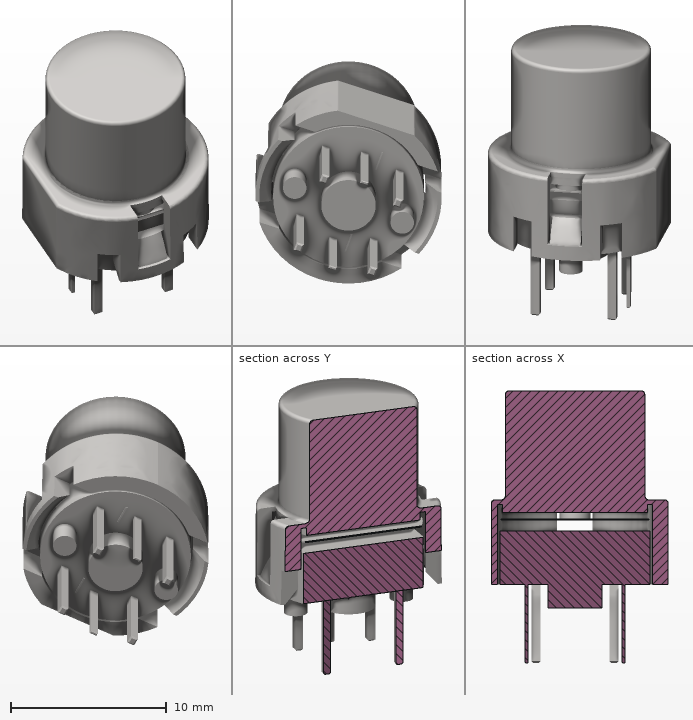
import cadquery as cq
import math

cap_top = 17.5
skirt_top = 10.5
ceiling = 10.18
plug_bottom = 9.66
slot_floor = 5.98
skirt_bottom = 5.02
notch_top = 7.38
disc_top = 9.28
disc_bottom = 9.17
base_top = 8.49
shoulder = 7.52
post_bottom = 3.54

pick_margin = 0.18

cap_radius = 9.0 / 2
skirt_top_half_width = 5.95
skirt_radius = 11.99 / 2
flat_y = skirt_radius - 11.4
edge_radius = 0.25
flat_corner_radius = 0.18
cavity_radius = 4.97
lead_in_radius = 5.74
lead_in_height = 0.95
notch_inner_y = 2.24
notch_outer_y = 3.54
stem_radius = 2.0 / 2
stem_x = 3.6
disc_radius = 4.78
disc_flat_x = 4.62
slot_width = 2.28
slot_inner_radius = 4.7
plug_radius = 4.67

base_radius = 4.85
base_flat_x = 4.18
hook_width = 2.0
hook_tip_radius = 5.8
hook_bulge = 0.05
centre_post_radius = 3.5 / 2
side_post_radius = 1.5 / 2
side_post_x = 3.65
rib_x = 1.03
rib_thickness = 0.1
rib_outer_y = 3.6
rib_length = 1.22
rib_height = 0.09

lead_y = 3.12
lead_width = 0.5
lead_thickness = 0.21
lead_tip_chamfer = 0.05
pin_offset = 2.5
pin_width = 0.5
pin_depth = 0.58
pin_tip_chamfer = 0.1


def cylinder(radius, bottom, top):
    return cq.Workplane("XY").workplane(offset=bottom).circle(radius).extrude(top - bottom)


def block(x_size, y_size, bottom, top, centre=(0, 0)):
    plane = cq.Workplane("XY").workplane(offset=bottom)
    return plane.center(*centre).rect(x_size, y_size).extrude(top - bottom)


def revolve_profile(points):
    profile = cq.Workplane("XZ").polyline(points).close()
    return profile.revolve(360, (0, 0, 0), (0, 1, 0))


def skirt_shell():
    skirt = (
        cq.Workplane("XY")
        .workplane(offset=skirt_bottom)
        .ellipse(skirt_radius, skirt_radius)
        .workplane(offset=skirt_top - skirt_bottom)
        .ellipse(skirt_top_half_width, skirt_radius)
        .loft(ruled=True)
    )
    reach = 2 * skirt_radius
    front_waste = block(2 * reach, reach, skirt_bottom, skirt_top, (0, flat_y - reach / 2))
    skirt = skirt.cut(front_waste)
    corner_x = math.sqrt(skirt_radius**2 - flat_y**2)
    corners = cq.selectors.BoxSelector(
        (-corner_x - pick_margin, flat_y - pick_margin, skirt_bottom + pick_margin),
        (corner_x + pick_margin, flat_y + pick_margin, skirt_top - pick_margin),
    )
    skirt = skirt.edges(corners).fillet(flat_corner_radius)
    return skirt.faces(">Z").edges().fillet(edge_radius)


def skirt_slots():
    slots = block(2 * skirt_radius, slot_width, slot_floor, skirt_top)
    return slots.cut(cylinder(slot_inner_radius, ceiling, skirt_top))


def skirt_notches():
    width = notch_outer_y - notch_inner_y
    middle = (notch_outer_y + notch_inner_y) / 2
    length = 2 * skirt_radius
    notches = block(length, width, skirt_bottom, notch_top, (0, middle))
    return notches.union(notches.mirror("XZ"))


def skirt_lead_in():
    cone = revolve_profile([
        (0, skirt_bottom),
        (lead_in_radius, skirt_bottom),
        (cavity_radius, skirt_bottom + lead_in_height),
        (0, skirt_bottom + lead_in_height),
    ])
    return cone.intersect(
        block(2 * lead_in_radius, 2 * notch_inner_y, skirt_bottom, skirt_bottom + lead_in_height)
    )


def plunger():
    """Round plug under the cap, with two stems carrying a thin disc with two flat sides."""
    plug = cylinder(plug_radius, plug_bottom, ceiling)
    disc = cylinder(disc_radius, disc_bottom, disc_top)
    disc = disc.intersect(block(2 * disc_flat_x, 2 * disc_radius, disc_bottom, disc_top))
    core = plug.union(disc)
    for side in (-1, 1):
        stem = cylinder(stem_radius, disc_top, plug_bottom)
        core = core.union(stem.translate((side * stem_x, 0, 0)))
    return core


def make_cover():
    cap = cylinder(cap_radius, skirt_top, cap_top).faces(">Z").edges().fillet(edge_radius)
    cover = skirt_shell().union(cap)
    root = cq.selectors.BoxSelector(
        (-cap_radius - pick_margin, -cap_radius - pick_margin, skirt_top - pick_margin),
        (cap_radius + pick_margin, cap_radius + pick_margin, skirt_top + pick_margin),
        boundingbox=True,
    )
    cover = cover.edges(root).fillet(edge_radius)
    cover = cover.cut(cylinder(cavity_radius, skirt_bottom, ceiling))
    cover = cover.cut(skirt_slots()).cut(skirt_notches()).cut(skirt_lead_in())
    return cover.union(plunger())


def snap_hooks():
    middle_radius = (base_radius + hook_tip_radius) / 2 + hook_bulge
    middle_height = (shoulder + slot_floor) / 2 + hook_bulge
    profile = (
        cq.Workplane("XZ")
        .moveTo(0, slot_floor)
        .lineTo(hook_tip_radius, slot_floor)
        .threePointArc((middle_radius, middle_height), (base_radius, shoulder))
        .lineTo(0, shoulder)
        .close()
    )
    dome = profile.revolve(360, (0, 0, 0), (0, 1, 0))
    return dome.intersect(block(2 * hook_tip_radius, hook_width, slot_floor, shoulder))


def lamp_lead(side):
    centre = (0, side * lead_y)
    lead = block(lead_width, lead_thickness, 0, skirt_bottom, centre)
    return lead.faces("<Z").edges().chamfer(lead_tip_chamfer)


def underside_rib(side):
    centre = (rib_x, side * (rib_outer_y - rib_length / 2))
    return block(rib_thickness, rib_length, skirt_bottom - rib_height, skirt_bottom, centre)


def make_base():
    upper = cylinder(base_radius, shoulder, base_top)
    upper = upper.intersect(block(2 * base_flat_x, 2 * base_radius, shoulder, base_top))
    base = cylinder(base_radius, skirt_bottom, shoulder).union(upper)
    base = base.union(snap_hooks())
    base = base.union(cylinder(centre_post_radius, post_bottom, skirt_bottom))
    for side in (-1, 1):
        post = cylinder(side_post_radius, post_bottom, skirt_bottom)
        base = base.union(post.translate((side * side_post_x, 0, 0)))
        base = base.union(lamp_lead(side)).union(underside_rib(side))
    return base


def make_contact_pin(x, y):
    pin = block(pin_width, pin_depth, 0, skirt_bottom, (x, y))
    return pin.faces("<Z").edges().chamfer(pin_tip_chamfer)


cover = make_cover()
base = make_base()
contact_pins = [
    make_contact_pin(x, y)
    for x in (-pin_offset, pin_offset)
    for y in (-pin_offset, pin_offset)
]

result = cq.Compound.makeCompound([
    cover.val(),
    base.val(),
    *[pin.val() for pin in contact_pins],
])